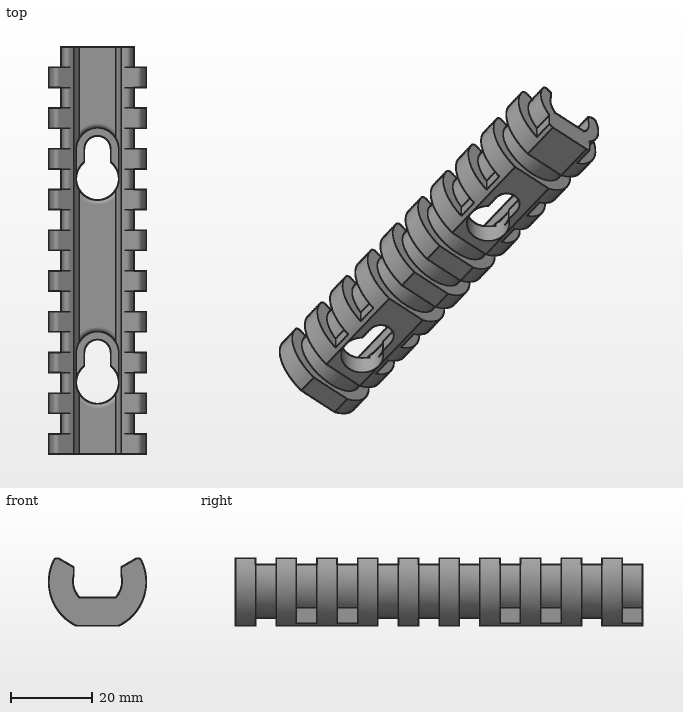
import cadquery as cq
import math

length = 100.0
outer_radius = 12.0
bottom_z = -10.8

groove_count = 10
groove_pitch = length / groove_count
groove_width = groove_pitch / 2
groove_radius = 9.0

channel_radius = 6.0
channel_axis_z = 0.2
mouth_half_width = 5.8
floor_z = -3.8
lip_inner_z = 3.6
lip_angle = 30.0
tip_radius = 1.0
floor_half_width = math.sqrt(channel_radius**2 - (floor_z - channel_axis_z) ** 2)

pad_half_width = 6.3
padded_grooves = (0, 2, 3, 7, 8)

keyhole_centers = (17.6, -32.4)
keyhole_head_radius = 5.2
keyhole_neck_radius = 3.2
keyhole_neck_offset = 7.3
recess_depth = 3.0
rim_radius = 1.1

overlap = 1.0


def along_bar(sketch, span, end_y):
    """Extrude an XZ outline toward +Y over span, finishing at end_y."""
    return sketch.extrude(-span).translate((0, end_y - span, 0))


def rounded_bar(radius, span, end_y):
    """Round bar with a flat bottom and sloped lip tops with rounded tips."""
    slope = math.radians(lip_angle)
    normal_x = -math.sin(slope)
    normal_z = math.cos(slope)
    line_offset = mouth_half_width * normal_x + lip_inner_z * normal_z - tip_radius
    center_radius = radius - tip_radius
    reach = math.sqrt(center_radius**2 - line_offset**2)
    center_x = line_offset * normal_x + reach * normal_z
    center_z = line_offset * normal_z - reach * normal_x
    tip_start = (center_x + tip_radius * normal_x, center_z + tip_radius * normal_z)
    tip_end = (center_x * radius / center_radius, center_z * radius / center_radius)
    start_angle = math.atan2(normal_z, normal_x)
    end_angle = math.atan2(center_z, center_x)
    middle_angle = (start_angle + end_angle) / 2
    tip_middle = (
        center_x + tip_radius * math.cos(middle_angle),
        center_z + tip_radius * math.sin(middle_angle),
    )
    axis_z = lip_inner_z - mouth_half_width * math.tan(slope)
    bottom_half_width = math.sqrt(max(radius**2 - bottom_z**2, 0))
    outline = (
        cq.Workplane("XZ")
        .moveTo(0, axis_z)
        .lineTo(*tip_start)
        .threePointArc(tip_middle, tip_end)
    )
    if bottom_half_width > 0:
        outline = outline.threePointArc((radius, 0), (bottom_half_width, bottom_z))
        outline = outline.lineTo(-bottom_half_width, bottom_z)
        outline = outline.threePointArc((-radius, 0), (-tip_end[0], tip_end[1]))
    else:
        outline = outline.threePointArc((0, -radius), (-tip_end[0], tip_end[1]))
    outline = (
        outline.threePointArc((-tip_middle[0], tip_middle[1]), (-tip_start[0], tip_start[1]))
        .close()
    )
    return along_bar(outline, span, end_y)


def pad(end_y):
    """Solid block under one groove, kept inside the outer round."""
    block = cq.Workplane("XY").box(
        2 * pad_half_width, groove_width, -bottom_z, centered=(True, False, False)
    )
    return block.translate((0, end_y - groove_width, bottom_z)).intersect(
        rounded_bar(outer_radius, length, length / 2)
    )


def channel():
    """Cutter for the channel: a round bore cut off at the floor, plus the open mouth."""
    span = length + 2 * overlap
    end_y = span / 2
    bore = along_bar(cq.Workplane("XZ").center(0, channel_axis_z).circle(channel_radius), span, end_y)
    above_floor = cq.Workplane("XY").box(
        2 * outer_radius, span, 2 * outer_radius, centered=(True, True, False)
    )
    mouth = cq.Workplane("XY").box(
        2 * mouth_half_width, span, outer_radius, centered=(True, True, False)
    )
    return bore.intersect(above_floor.translate((0, 0, floor_z))).union(mouth)


def oblong(radius, base_z, height, center_y):
    """Upright slot solid whose lower end is centered at center_y."""
    return (
        cq.Workplane("XY", origin=(0, center_y + keyhole_neck_offset / 2, base_z))
        .slot2D(keyhole_neck_offset + 2 * radius, 2 * radius, 90)
        .extrude(height)
    )


def rounded_rim(center_y):
    """Cutter that rounds the edge between the floor and the recess, across the floor only."""
    base_z = floor_z - rim_radius - overlap
    collar_radius = keyhole_head_radius + rim_radius
    collar = oblong(collar_radius + overlap, base_z, rim_radius + overlap, center_y)
    collar = collar.cut(oblong(keyhole_head_radius, base_z, rim_radius + overlap, center_y))
    collar_top = collar.faces(">Z")
    inner_wire = collar_top.val().innerWires()[0]
    collar = collar.newObject(inner_wire.Edges()).fillet(rim_radius)
    filled = oblong(collar_radius, base_z + overlap, rim_radius, center_y)
    floor_strip = cq.Workplane("XY").box(2 * floor_half_width, length, length)
    return filled.cut(collar).intersect(floor_strip)


def keyhole(center_y):
    """Cutter for one keyhole and the oblong recess around it."""
    through = floor_z - bottom_z + overlap
    head = (
        cq.Workplane("XY", origin=(0, center_y, bottom_z - overlap))
        .circle(keyhole_head_radius)
        .extrude(through)
    )
    neck = oblong(keyhole_neck_radius, bottom_z - overlap, through, center_y)
    recess_top_z = channel_axis_z
    recess_base_z = floor_z - recess_depth
    recess = oblong(keyhole_head_radius, recess_base_z, recess_top_z - recess_base_z, center_y)
    return head.union(neck).union(recess)


result = rounded_bar(groove_radius, length, length / 2)
for index in range(groove_count):
    groove_end_y = length / 2 - index * groove_pitch
    result = result.union(rounded_bar(outer_radius, groove_width, groove_end_y - groove_width))
    if index in padded_grooves:
        result = result.union(pad(groove_end_y))
result = result.cut(channel())
for center_y in keyhole_centers:
    result = result.cut(keyhole(center_y)).cut(rounded_rim(center_y))